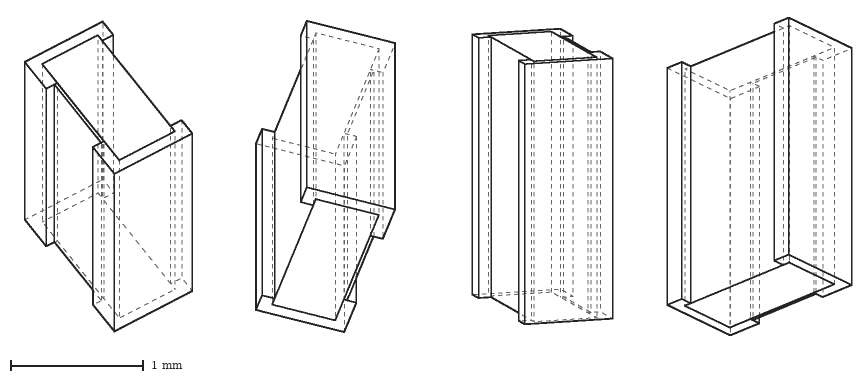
import cadquery as cq

TOTAL_WIDTH = 1.25
TOTAL_DEPTH = 0.7
LENGTH = 2.0

WALL = 0.088
LIP = 0.1
FRONT_LIP_REACH = 0.3
BACK_LIP_REACH = 0.15

FILM_THICKNESS = 0.025

CORE_WIDTH = TOTAL_WIDTH - 2 * WALL
CORE_DEPTH = TOTAL_DEPTH - 2 * LIP
FILM_WIDTH = TOTAL_WIDTH - 2 * FRONT_LIP_REACH
OUTER_X = TOTAL_WIDTH / 2
OUTER_Y = TOTAL_DEPTH / 2
CORE_Y = CORE_DEPTH / 2


def make_core():
    """Rectangular block gripped by both terminals."""
    return cq.Workplane("XY").rect(CORE_WIDTH, CORE_DEPTH).extrude(LENGTH)


def make_film():
    """Thin layer lying on the front face of the core."""
    return (
        cq.Workplane("XY")
        .center(0, -CORE_Y - FILM_THICKNESS / 2)
        .rect(FILM_WIDTH, FILM_THICKNESS)
        .extrude(LENGTH)
    )


def make_terminal(side):
    """C-shaped terminal; side is -1 for the -X end and +1 for the +X end."""
    outer = side * OUTER_X
    inner = side * (OUTER_X - WALL)
    front_tip = side * (OUTER_X - FRONT_LIP_REACH)
    back_tip = side * (OUTER_X - BACK_LIP_REACH)
    outline = [
        (outer, -OUTER_Y),
        (front_tip, -OUTER_Y),
        (front_tip, -CORE_Y),
        (inner, -CORE_Y),
        (inner, CORE_Y),
        (back_tip, CORE_Y),
        (back_tip, OUTER_Y),
        (outer, OUTER_Y),
    ]
    return cq.Workplane("XY").polyline(outline).close().extrude(LENGTH)


core = make_core()
film = make_film()
terminals = [make_terminal(side) for side in (-1, 1)]

result = cq.Compound.makeCompound(
    [core.val(), film.val(), *[terminal.val() for terminal in terminals]]
)